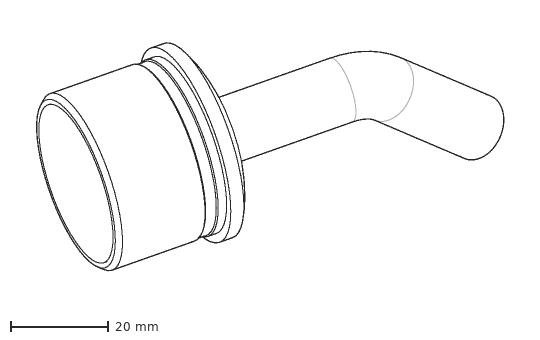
import cadquery as cq
import math

plug_radius = 19.24
bore_radius = 17.21
rim_chamfer_length = 1.2
rim_chamfer_depth = 1.0

groove_start = 20.1
groove_end = 23.1
groove_depth = 0.3

flange_start = 25.0
flange_thickness = 3.0
flange_radius = 21.18
dome_height = 4.1

tube_radius = 7.0
root_fillet = 1.0
bend_start = 60.7
bend_radius = 15.0
bend_angle = 45.0
overall_length = 96.95

bore_depth = flange_start
flange_end = flange_start + flange_thickness
dome_top = flange_end + dome_height
groove_floor = plug_radius - groove_depth

dome_inner_radius = tube_radius + root_fillet
dome_width = flange_radius - dome_inner_radius
dome_arc_radius = (dome_width**2 + dome_height**2) / (2 * dome_height)

bend_sin = math.sin(math.radians(bend_angle))
bend_cos = math.cos(math.radians(bend_angle))
bend_end_y = bend_start + bend_radius * bend_sin
bend_end_z = -bend_radius * (1 - bend_cos)
end_length = (overall_length - bend_end_y - tube_radius * bend_sin) / bend_cos


def make_plug():
    """Cup, groove, flange, dome and tube root, revolved about the Y axis."""
    half_dome_angle = math.asin(dome_width / dome_arc_radius) / 2
    dome_mid = (
        dome_inner_radius + dome_arc_radius * math.sin(half_dome_angle),
        dome_top - dome_arc_radius * (1 - math.cos(half_dome_angle)),
    )
    fillet_reach = root_fillet * (1 - math.sqrt(0.5))
    fillet_mid = (tube_radius + fillet_reach, dome_top + fillet_reach)
    profile = (
        cq.Workplane("XY")
        .moveTo(0, bore_depth)
        .lineTo(bore_radius, bore_depth)
        .lineTo(bore_radius, 0)
        .lineTo(plug_radius - rim_chamfer_depth, 0)
        .lineTo(plug_radius, rim_chamfer_length)
        .lineTo(plug_radius, groove_start)
        .lineTo(groove_floor, groove_start + groove_depth)
        .lineTo(groove_floor, groove_end - groove_depth)
        .lineTo(plug_radius, groove_end)
        .lineTo(plug_radius, flange_start)
        .lineTo(flange_radius, flange_start)
        .lineTo(flange_radius, flange_end)
        .threePointArc(dome_mid, (dome_inner_radius, dome_top))
        .threePointArc(fillet_mid, (tube_radius, dome_top + root_fillet))
        .lineTo(0, dome_top + root_fillet)
        .close()
    )
    return profile.revolve(360, (0, 0, 0), (0, 1, 0))


def make_tube():
    """Solid round bar swept along the bent centre line, starting at the root fillet."""
    tube_start = dome_top + root_fillet
    half_angle = math.radians(bend_angle / 2)
    bend_mid = (
        bend_start + bend_radius * math.sin(half_angle),
        -bend_radius * (1 - math.cos(half_angle)),
    )
    tip = (bend_end_y + end_length * bend_cos, bend_end_z - end_length * bend_sin)
    path = (
        cq.Workplane("YZ")
        .moveTo(tube_start, 0)
        .lineTo(bend_start, 0)
        .threePointArc(bend_mid, (bend_end_y, bend_end_z))
        .lineTo(*tip)
    )
    section = cq.Workplane("XZ", origin=(0, tube_start, 0)).circle(tube_radius)
    return section.sweep(path)


result = make_plug().union(make_tube())